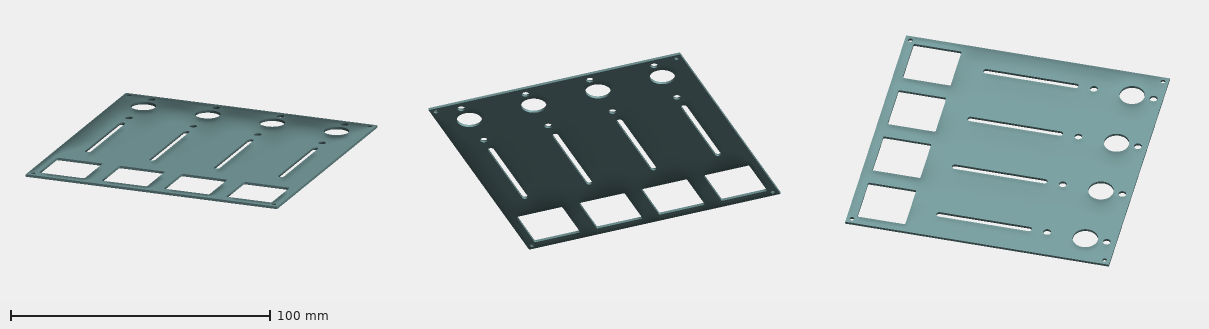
import cadquery as cq

plate_side = 104.4
plate_thickness = 1.0

mount_hole_diameter = 1.8
mount_hole_inset = 2.2
mount_hole_spacing = plate_side - 2 * mount_hole_inset

column_count = 4
column_pitch = 26.7
small_hole_diameter = 3.0
upper_small_hole_y = 48.5
lower_small_hole_y = 24.9
large_hole_diameter = 9.8
large_hole_y = 40.1
slot_length = 37.8
slot_width = 2.4
slot_y = 0.0

window_side = 19.0
window_corner_radius = 0.5
window_pitch = 25.9
window_y = -38.8


def row_points(pitch, y):
    """Evenly spaced points along X, centred on the plate."""
    middle = (column_count - 1) / 2
    return [((i - middle) * pitch, y) for i in range(column_count)]


def cutter(sketch):
    """Extrude closed outlines through the full plate thickness."""
    return sketch.extrude(plate_thickness)


def round_holes(points, diameter):
    return cutter(cq.Workplane("XY").pushPoints(points).circle(diameter / 2))


def mounting_holes():
    corners = cq.Workplane("XY").rarray(mount_hole_spacing, mount_hole_spacing, 2, 2)
    return cutter(corners.circle(mount_hole_diameter / 2))


def slots():
    points = row_points(column_pitch, slot_y)
    return cutter(cq.Workplane("XY").pushPoints(points).slot2D(slot_length, slot_width, 90))


def windows():
    points = row_points(window_pitch, window_y)
    squares = cutter(cq.Workplane("XY").pushPoints(points).rect(window_side, window_side))
    return squares.edges("|Z").fillet(window_corner_radius)


result = cq.Workplane("XY").rect(plate_side, plate_side).extrude(plate_thickness)
result = result.cut(mounting_holes())
for hole_y in (upper_small_hole_y, lower_small_hole_y):
    result = result.cut(round_holes(row_points(column_pitch, hole_y), small_hole_diameter))
result = result.cut(round_holes(row_points(column_pitch, large_hole_y), large_hole_diameter))
result = result.cut(slots())
result = result.cut(windows())